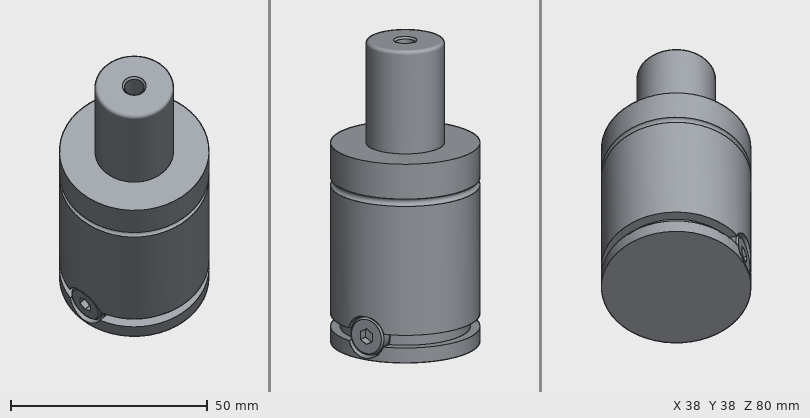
import cadquery as cq
import math

total_height = 80.0
body_height = 52.8
body_radius = 38.0 / 2
rod_radius = 20.0 / 2
rod_edge_radius = 1.0

upper_groove_z = 42.6
upper_groove_radius = 1.0

flange_height = 4.0
lower_groove_top = 7.4
lower_groove_radius = 16.6

rod_hole_diameter = 5.0
rod_hole_mouth_diameter = 6.0
rod_hole_depth = 12.0
drill_tip_angle = 118.0

plug_z = 5.9
pocket_diameter = 11.0
pocket_floor_distance = 15.2
plug_diameter = 10.0
plug_face_distance = 18.2
plug_chamfer = 0.5
hex_across_flats = 3.6
hex_depth = 2.4


def make_body():
    """Cylinder with its two grooves, turned about Z."""
    return (
        cq.Workplane("XZ")
        .lineTo(body_radius, 0)
        .lineTo(body_radius, flange_height)
        .lineTo(lower_groove_radius, flange_height)
        .lineTo(lower_groove_radius, lower_groove_top)
        .lineTo(body_radius, lower_groove_top)
        .lineTo(body_radius, upper_groove_z - upper_groove_radius)
        .threePointArc(
            (body_radius - upper_groove_radius, upper_groove_z),
            (body_radius, upper_groove_z + upper_groove_radius),
        )
        .lineTo(body_radius, body_height)
        .lineTo(0, body_height)
        .close()
        .revolve(360, (0, 0, 0), (0, 1, 0))
    )


def make_rod():
    rod = cq.Workplane("XY").workplane(offset=body_height).circle(rod_radius)
    return rod.extrude(total_height - body_height).faces(">Z").edges().fillet(rod_edge_radius)


def make_rod_hole():
    """Drilled hole with a countersunk mouth and a conical bottom."""
    hole_radius = rod_hole_diameter / 2
    mouth_radius = rod_hole_mouth_diameter / 2
    mouth_depth = mouth_radius - hole_radius
    tip_depth = hole_radius / math.tan(math.radians(drill_tip_angle / 2))
    hole_bottom = total_height - rod_hole_depth
    return (
        cq.Workplane("XZ")
        .moveTo(0, total_height)
        .lineTo(mouth_radius, total_height)
        .lineTo(hole_radius, total_height - mouth_depth)
        .lineTo(hole_radius, hole_bottom)
        .lineTo(0, hole_bottom - tip_depth)
        .close()
        .revolve(360, (0, 0, 0), (0, 1, 0))
    )


def plug_plane(distance):
    """Plane facing -Y, centred on the plug axis at a distance from the body axis."""
    return cq.Workplane("XZ", origin=(0, -distance, plug_z))


def make_pocket():
    pocket_length = body_radius - pocket_floor_distance
    return plug_plane(pocket_floor_distance).circle(pocket_diameter / 2).extrude(pocket_length)


def make_plug():
    plug_length = plug_face_distance - pocket_floor_distance
    plug = plug_plane(pocket_floor_distance).circle(plug_diameter / 2).extrude(plug_length)
    plug = plug.faces("<Y").edges().chamfer(plug_chamfer)
    hex_across_corners = hex_across_flats / math.cos(math.pi / 6)
    socket = (
        plug_plane(plug_face_distance)
        .transformed(rotate=(0, 0, 90))
        .polygon(6, hex_across_corners)
        .extrude(-hex_depth)
    )
    return plug.cut(socket)


result = make_body().union(make_rod()).cut(make_rod_hole())
result = result.cut(make_pocket()).union(make_plug())